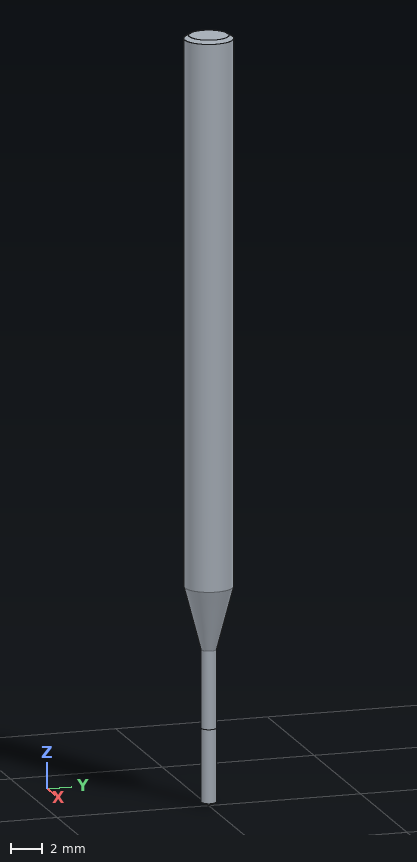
import cadquery as cq

tool_length = 50.2

shank_radius = 1.585
chamfer_width = 0.3
chamfer_height = 0.2
shank_bottom = 14.3

neck_radius = 0.5
cone_bottom = 10.2

cutter_radius = 0.5
cutter_length = 5.05
point_height = 0.25


def revolve_profile(points):
    """Revolve a closed (radius, height) outline about the Z axis."""
    return cq.Workplane("XZ").polyline(points).close().revolve(360, (0, 0, 0), (0, 1, 0))


def make_holder():
    """Shank with a chamfered top, tapering down to the neck."""
    return revolve_profile([
        (0, cutter_length),
        (neck_radius, cutter_length),
        (neck_radius, cone_bottom),
        (shank_radius, shank_bottom),
        (shank_radius, tool_length - chamfer_height),
        (shank_radius - chamfer_width, tool_length),
        (0, tool_length),
    ])


def make_cutter():
    """Straight cutter with a conical point, meeting the neck face to face."""
    return revolve_profile([
        (0, 0),
        (cutter_radius, point_height),
        (cutter_radius, cutter_length),
        (0, cutter_length),
    ])


holder = make_holder()
cutter = make_cutter()

result = cq.Compound.makeCompound([holder.val(), cutter.val()])